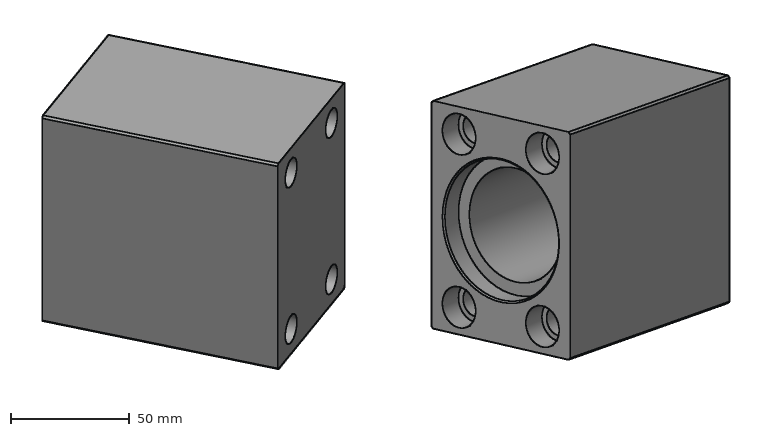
import cadquery as cq

length = 107.0
width = 75.0
height = 100.0
edge_chamfer = 1.0

bore_diameter = 50.0
floor_thickness = 16.0
bore_depth = length - floor_thickness
recess_diameter = 61.5
recess_depth = 10.0
mouth_chamfer = 0.7

hole_spacing_y = 45.0
hole_spacing_z = 76.0
hole_diameter = 13.0
counterbore_diameter = 18.0
counterbore_depth = 10.8


def make_block():
    """Rectangular block with its four long edges chamfered."""
    return cq.Workplane("XY").box(length, width, height).edges("|X").chamfer(edge_chamfer)


def cut_bore(body):
    """Cut the main bore, the wider recess at its mouth and the chamfer on the rim."""
    entry = cq.Workplane("YZ", origin=(-length / 2, 0, 0))
    bore = entry.circle(bore_diameter / 2).extrude(bore_depth)
    recess = entry.circle(recess_diameter / 2).extrude(recess_depth)
    rim = (
        entry.circle(recess_diameter / 2 + mouth_chamfer)
        .workplane(offset=mouth_chamfer)
        .circle(recess_diameter / 2)
        .loft(ruled=True)
    )
    return body.cut(bore).cut(recess).cut(rim)


def cut_bolt_holes(body):
    """Drill the bolt holes right through and counterbore them from the -X face."""
    return (
        body.faces("<X")
        .workplane(origin=(-length / 2, 0, 0))
        .rarray(hole_spacing_y, hole_spacing_z, 2, 2)
        .cboreHole(hole_diameter, counterbore_diameter, counterbore_depth)
    )


result = cut_bolt_holes(cut_bore(make_block()))